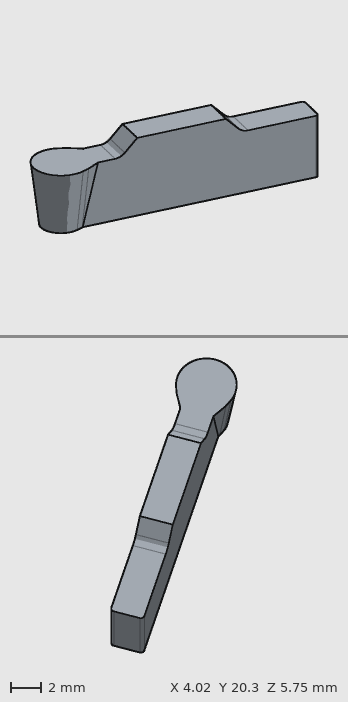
import cadquery as cq
import math

length = 20.33
bar_width = 2.28
bar_height = 4.55
end_corner_radius = 0.25

hump_top_height = 5.75
hump_front = 7.05
hump_back = 13.54
hump_angle = 45.0
hump_foot_radius = 1.0

head_radius = 2.01
head_taper = 7.0
facet_angle = 21.0
facet_length = 0.53
neck_y = 4.19
head_back = 5.08
bar_front = 2.85


def make_bar():
    """Straight bar with its raised middle and rounded rear corners."""
    slope_run = (hump_top_height - bar_height) / math.tan(math.radians(hump_angle))
    foot_front = hump_front - slope_run
    foot_back = hump_back + slope_run
    profile = [
        (bar_front, 0),
        (length, 0),
        (length, bar_height),
        (foot_back, bar_height),
        (hump_back, hump_top_height),
        (hump_front, hump_top_height),
        (foot_front, bar_height),
        (bar_front, bar_height),
    ]
    bar = cq.Workplane("YZ").polyline(profile).close().extrude(bar_width / 2, both=True)
    bar = bar.faces(">Y").edges("|Z").fillet(end_corner_radius)
    for foot_y in (foot_front, foot_back):
        foot = cq.selectors.NearestToPointSelector((0, foot_y, bar_height))
        bar = bar.edges(foot).fillet(hump_foot_radius)
    return bar


def make_head():
    """Round head with two flat facets per side, tapering downwards."""
    angle = math.radians(facet_angle)
    tangent_x = head_radius * math.cos(angle)
    tangent_y = head_radius * (1 + math.sin(angle))
    corner_x = tangent_x - facet_length * math.sin(angle)
    corner_y = tangent_y + facet_length * math.cos(angle)
    flank_slope = (corner_x - bar_width / 2) / (neck_y - corner_y)
    back_x = corner_x - flank_slope * (head_back - corner_y)
    outline = (
        cq.Workplane("XY", origin=(0, 0, bar_height))
        .moveTo(tangent_x, tangent_y)
        .lineTo(corner_x, corner_y)
        .lineTo(back_x, head_back)
        .lineTo(-back_x, head_back)
        .lineTo(-corner_x, corner_y)
        .lineTo(-tangent_x, tangent_y)
        .threePointArc((0, 0), (tangent_x, tangent_y))
        .close()
    )
    return outline.extrude(-bar_height, taper=head_taper)


result = make_bar().union(make_head())